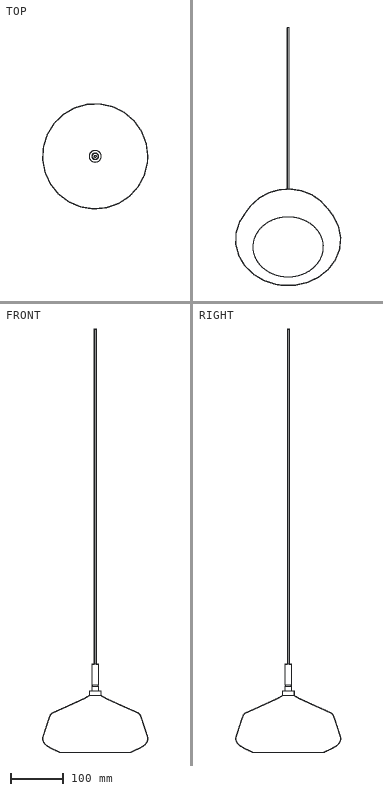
import cadquery as cq

total_height = 802.0
shade_diameter = 200.0

base_radius = 66.5
underside = (83.0, 8.0)
lower_belly = (97.0, 18.5)
belly_height = 26.5
wall_bottom = (98.0, 34.5)
wall_middle = (92.0, 50.5)
wall_top = (87.0, 66.5)
shoulder = (83.0, 74.0)
roof_edge = (76.0, 78.0)
roof_middle = (49.0, 90.0)
crown_radius = 21.0
crown_height = 103.0
shade_height = 108.0

collar_radius = 11.0
collar_length = 9.0
stem_radius = 6.5
stem_top = 167.5
groove_base = 125.0
groove_width = 3.0
groove_depth = 1.0
cord_radius = 2.0

shade_radius = shade_diameter / 2
collar_top = shade_height + collar_length


def make_shade():
    """Revolved lamp shade: one smooth curve with a rounded belly and shoulder and a shallow conical roof."""
    outer_curve = [
        underside,
        lower_belly,
        (shade_radius, belly_height),
        wall_bottom,
        wall_middle,
        wall_top,
        shoulder,
        roof_edge,
        roof_middle,
        (crown_radius, crown_height),
    ]
    return (
        cq.Workplane("XZ")
        .lineTo(base_radius, 0)
        .spline(outer_curve, includeCurrent=True)
        .lineTo(collar_radius, shade_height)
        .lineTo(0, shade_height)
        .close()
        .revolve(360, (0, 0, 0), (0, 1, 0))
    )


def cylinder(radius, bottom, top):
    """Vertical cylinder on the lamp axis."""
    return cq.Workplane("XY").workplane(offset=bottom).circle(radius).extrude(top - bottom)


def make_suspension():
    """Collar resting on the shade, with the stem and cord rising from it."""
    collar = cylinder(collar_radius, shade_height, collar_top)
    stem = cylinder(stem_radius, collar_top, stem_top)
    cord = cylinder(cord_radius, stem_top, total_height)

    groove_top = groove_base + groove_width
    groove_core = cylinder(stem_radius - groove_depth, groove_base, groove_top)
    groove = cylinder(stem_radius, groove_base, groove_top).cut(groove_core)

    return collar.union(stem.cut(groove)).union(cord)


shade = make_shade()
suspension = make_suspension()

result = cq.Compound.makeCompound([shade.val(), suspension.val()])